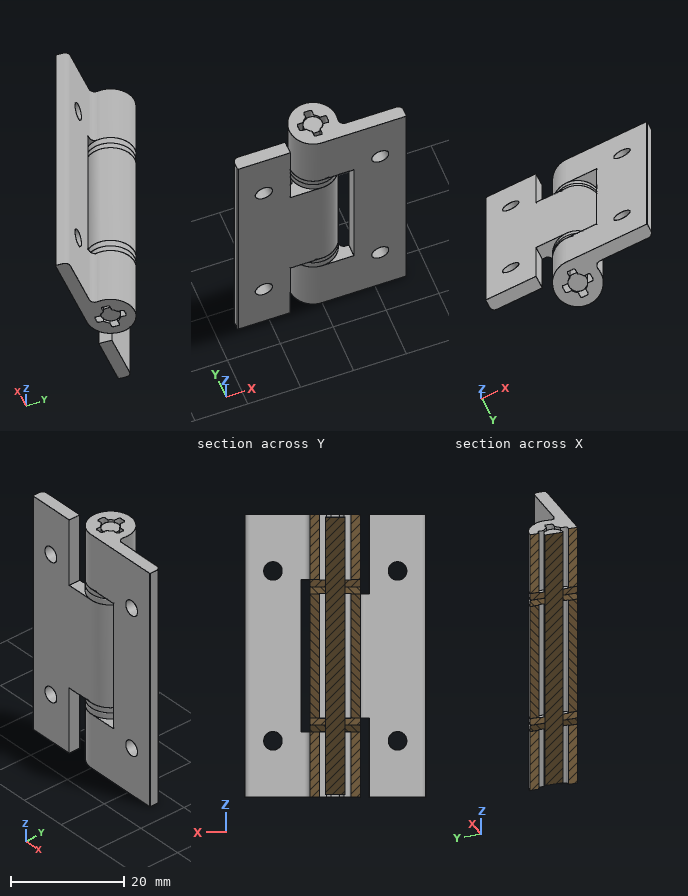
import cadquery as cq
import math

height = 50.0
width = 32.0
plate_thickness = 2.5
knuckle_diameter = 9.0
knuckle_radius = knuckle_diameter / 2
pivot_y = knuckle_radius

root_fillet = 1.0
front_edge_fillet = 1.0
back_edge_chamfer = 0.15
clearance_edge_x = 6.0
middle_knuckle_length = 22.0
screw_hole_diameter = 3.2
screw_hole_x = 11.0
screw_hole_z = 15.0

pin_diameter = 3.5
slot_width = 1.5
slot_span = 5.5
slot_corner_fillet = 0.3

washer_thickness = 1.2
washer_rim_fillet = 0.2

pin_recess = 0.5

half_middle = middle_knuckle_length / 2
half_opening = half_middle + 2 * washer_thickness


def z_cylinder(diameter, z_bottom, length):
    """Cylinder on the pivot axis."""
    return (
        cq.Workplane("XY", origin=(0, pivot_y, z_bottom))
        .circle(diameter / 2)
        .extrude(length)
    )


def leaf_blank():
    """Full-height plate running from the pivot to +X, blended into the knuckle."""
    blend_y = plate_thickness + root_fillet
    blend_x = math.sqrt((knuckle_radius + root_fillet) ** 2 - (pivot_y - blend_y) ** 2)
    to_knuckle = knuckle_radius / (knuckle_radius + root_fillet)
    tangent_x = blend_x * to_knuckle
    tangent_y = pivot_y + (blend_y - pivot_y) * to_knuckle
    outer_x = width / 2
    return (
        cq.Workplane("XY", origin=(0, 0, -height / 2))
        .lineTo(outer_x - back_edge_chamfer, 0)
        .lineTo(outer_x, back_edge_chamfer)
        .lineTo(outer_x, plate_thickness - front_edge_fillet)
        .radiusArc((outer_x - front_edge_fillet, plate_thickness), -front_edge_fillet)
        .lineTo(blend_x, plate_thickness)
        .radiusArc((tangent_x, tangent_y), root_fillet)
        .threePointArc((-knuckle_radius, pivot_y), (0, 0))
        .close()
        .extrude(height)
    )


def knuckle_bore():
    """Round bore with four round-cornered key slots, through the full height."""
    bore = z_cylinder(pin_diameter, -height / 2, height)
    for size in ((slot_span, slot_width), (slot_width, slot_span)):
        slots = cq.Workplane("XY").box(*size, height).edges("|Z").fillet(slot_corner_fillet)
        bore = bore.union(slots.translate((0, pivot_y, 0)))
    return bore


def knuckle_clearance(z_bottom, length):
    """Block removed around the pivot to make room for the other leaf's knuckle."""
    return (
        cq.Workplane("XY", origin=(0, pivot_y, z_bottom))
        .rect(2 * clearance_edge_x, knuckle_diameter)
        .extrude(length)
    )


def screw_holes():
    """Two plain holes through the plate along Y."""
    return (
        cq.Workplane("XZ")
        .pushPoints([(screw_hole_x, screw_hole_z), (screw_hole_x, -screw_hole_z)])
        .circle(screw_hole_diameter / 2)
        .extrude(-plate_thickness)
    )


def hinge_leaf(clearances):
    """Leaf on the +X side; clearances are (bottom, length) spans without a knuckle."""
    leaf = leaf_blank().cut(screw_holes()).cut(knuckle_bore())
    for z_bottom, length in clearances:
        leaf = leaf.cut(knuckle_clearance(z_bottom, length))
    return leaf


def washer():
    """Washer on Z = 0, rounded along the top rim where it meets its partner."""
    radius = knuckle_radius
    return (
        cq.Workplane("XZ")
        .moveTo(pin_diameter / 2, 0)
        .lineTo(radius, 0)
        .lineTo(radius, washer_thickness - washer_rim_fillet)
        .radiusArc((radius - washer_rim_fillet, washer_thickness), -washer_rim_fillet)
        .lineTo(pin_diameter / 2, washer_thickness)
        .close()
        .revolve(360, (0, 0, 0), (0, 1, 0))
        .translate((0, pivot_y, 0))
    )


end_knuckle_leaf = hinge_leaf([(-half_opening, 2 * half_opening)])

end_clearance = height / 2 - half_middle
middle_knuckle_leaf = hinge_leaf(
    [(-height / 2, end_clearance), (half_middle, end_clearance)]
).mirror("YZ")

washers = []
for lower_face, upper_face in ((half_middle, half_opening), (-half_opening, -half_middle)):
    washers.append(washer().translate((0, 0, lower_face)))
    washers.append(washer().mirror("XY").translate((0, 0, upper_face)))

pin = z_cylinder(pin_diameter, -height / 2 + pin_recess, height - 2 * pin_recess)

result = cq.Compound.makeCompound(
    [end_knuckle_leaf.val(), middle_knuckle_leaf.val(), pin.val()]
    + [body.val() for body in washers]
)